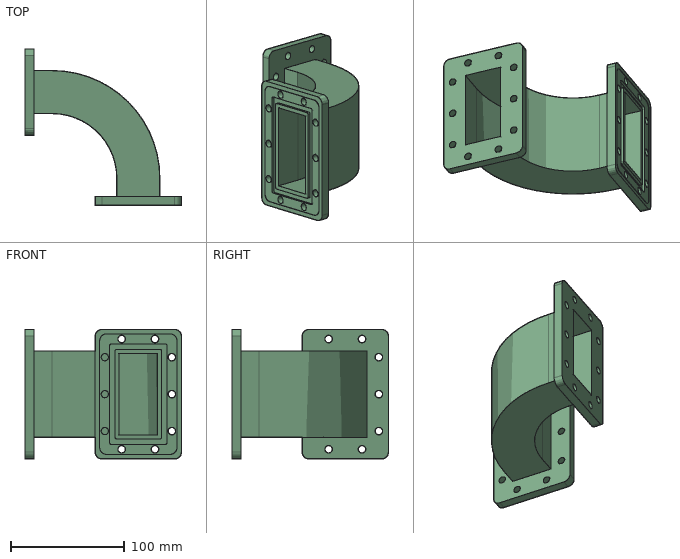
import cadquery as cq

flange_width = 76.2
flange_height = 114.3
flange_thickness = 8.0
flange_corner_radius = 6.1

tube_width = 38.1
tube_height = 76.2
bore_width = 34.1
bore_height = 72.1

overall_length = 138.1
bend_radius = 76.0
tube_axis = overall_length - flange_width / 2
straight_length = tube_axis - bend_radius

hole_diameter = 6.4
side_hole_offset = 29.5
side_hole_pitch = 32.6
end_hole_offset = 48.6
end_hole_pitch = 29.4

face_recess_depth = 0.3
face_recess_width = 68.2
face_recess_height = 106.3
face_recess_radius = 6.2

groove_depth = 2.5
groove_outer_width = 50.5
groove_outer_height = 88.8
land_width = 41.2
land_height = 79.1
groove_corner_radius = 1.7

front_end = cq.Plane(origin=(tube_axis, 0, 0), xDir=(1, 0, 0), normal=(0, -1, 0))
left_end = cq.Plane(origin=(0, tube_axis, 0), xDir=(0, -1, 0), normal=(-1, 0, 0))


def rounded_block(plane, width, height, depth, radius):
    """Round-cornered block reaching inward from an end plane."""
    outline = cq.Sketch().rect(width, height).vertices().fillet(radius)
    return cq.Workplane(plane).placeSketch(outline).extrude(-depth)


def bent_bar(width, height):
    """Solid bar of rectangular section following the tube axis between the end planes."""
    path = (
        cq.Workplane("XY")
        .moveTo(tube_axis, 0)
        .lineTo(tube_axis, straight_length)
        .radiusArc((straight_length, tube_axis), -bend_radius)
        .lineTo(0, tube_axis)
    )
    return cq.Workplane(front_end).rect(width, height).sweep(path)


def bolt_holes(plane):
    """Ten bolt hole cutters: three along each long side and two along each short end."""
    side_points = [
        (side * side_hole_offset, row * side_hole_pitch)
        for side in (-1, 1)
        for row in (-1, 0, 1)
    ]
    end_points = [
        (side * end_hole_pitch / 2, end * end_hole_offset)
        for side in (-1, 1)
        for end in (-1, 1)
    ]
    return (
        cq.Workplane(plane)
        .pushPoints(side_points + end_points)
        .circle(hole_diameter / 2)
        .extrude(-flange_thickness)
    )


def sealing_face():
    """Cutter for the shallow face recess and gasket groove; the land around the bore stays full height."""
    recess = rounded_block(
        front_end, face_recess_width, face_recess_height, face_recess_depth, face_recess_radius
    )
    groove = rounded_block(
        front_end, groove_outer_width, groove_outer_height, groove_depth, groove_corner_radius
    )
    land = rounded_block(
        front_end, land_width, land_height, groove_depth, groove_corner_radius
    )
    return recess.union(groove).cut(land)


body = bent_bar(tube_width, tube_height)
for end_plane in (front_end, left_end):
    flange = rounded_block(
        end_plane, flange_width, flange_height, flange_thickness, flange_corner_radius
    )
    body = body.union(flange.cut(bolt_holes(end_plane)))

body = body.cut(sealing_face())
result = body.cut(bent_bar(bore_width, bore_height))